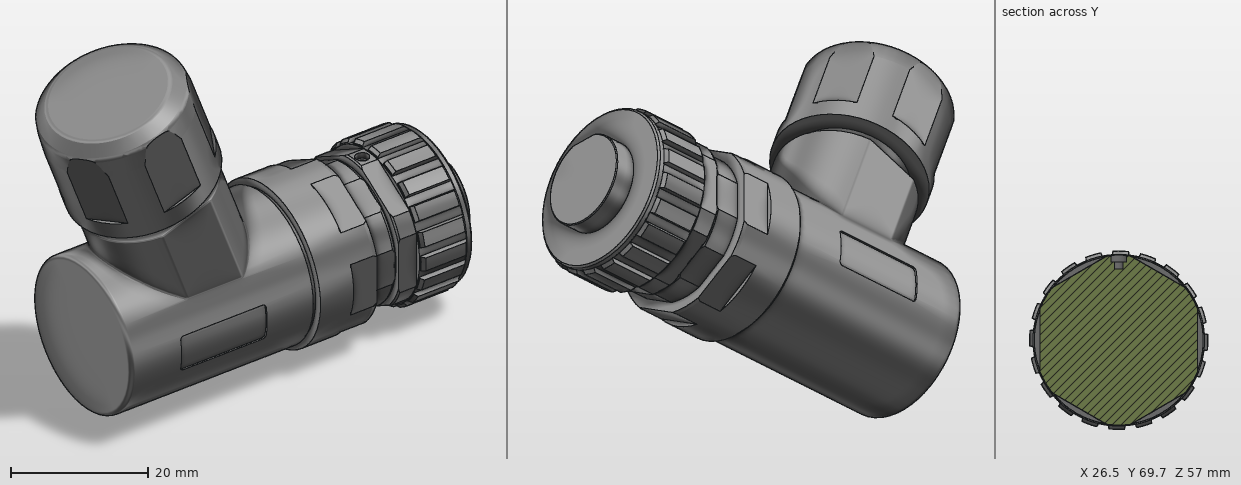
import cadquery as cq
import math


BODY_RADIUS = 12.45
BODY_END = 32.46
BODY_END_FILLET = 0.75
GROOVE_RADIUS = 12.0

LABEL_START = 9.03
LABEL_LENGTH = 15.23
LABEL_HEIGHT = 5.9
LABEL_DEPTH = 0.3
LABEL_CORNER = 0.6

COLLAR_RADIUS = 13.25
COLLAR_START = 33.2
COLLAR_FLATS_START = 39.08
COLLAR_END = 43.75
COLLAR_ACROSS_FLATS = 25.0
COLLAR_BEVEL_LENGTH = 0.63
COLLAR_BEVEL_DEPTH = 0.12

HEX_RADIUS = 11.45
HEX_END = 47.95
HEX_ACROSS_FLATS = 22.1
HEX_BEVEL_LENGTH = 0.4
HEX_BEVEL_DEPTH = 0.15

RELIEF_RADIUS = 10.9
NUT_START = 48.3
NUT_RADIUS = 12.4
NUT_ACROSS_FLATS = 23.0
NUT_BEVEL = 0.25
RING_START = 51.5
RING_END = 60.85
RING_RADIUS = 12.5
RING_BEVEL = 0.3

DOT_DIAMETER = 2.2
DOT_DEPTH = 1.0
DOT_PILOT_DIAMETER = 1.2
DOT_PILOT_DEPTH = 2.0

TOOTH_COUNT = 20
TOOTH_TILT = 1.3
TOOTH_START = 51.65
TOOTH_END = 59.8
TOOTH_TIP_RADIUS = 13.0
TOOTH_TIP_WIDTH = 2.1
TOOTH_ROOT_WIDTH = 2.5
TOOTH_END_BEVEL = 0.5
KNURL_FLOOR_RADIUS = 12.3

NOSE_RADIUS = 7.15
NOSE_END = 64.18
NOSE_FLAT_HEIGHT = 6.65
NOSE_BEVEL = 0.15

BRANCH_Y = 19.46
BRANCH_LEAN = 20.0
BOSS_RADIUS = 11.0
BOSS_TOP = 22.98
BOSS_WIDTH = 20.0
BOSS_FLAT_FILLET = 1.0
BOSS_TOP_FILLET = 0.4
BOSS_ROOT_FILLET = 0.5
NECK_RADIUS = 9.3

CAP_RADIUS = 12.0
CAP_BOTTOM = 25.13
CAP_FLATS_START = 28.15
CAP_ACROSS_FLATS = 23.0
CAP_TAPER_START = 38.15
CAP_SHOULDER = 41.3
CAP_SHOULDER_RADIUS = 11.65
CAP_TOP = 43.14
CAP_TOP_RADIUS = 9.45
CAP_SHOULDER_FILLET = 1.0
CAP_TOP_FILLET = 1.0

PICK_MARGIN = 0.1


def cylinder(radius, start, end):
    """Cylinder on the local Z axis between two heights."""
    return cq.Workplane("XY").workplane(offset=start).circle(radius).extrude(end - start)


def turned(points):
    """Body of revolution about local Z from (radius, height) points."""
    return cq.Workplane("XZ").polyline(points).close().revolve(360, (0, 0), (0, 1))


def hexagon(across_flats, start, end):
    """Hexagonal prism on local Z with one pair of flats facing +X and -X."""
    across_corners = across_flats / math.cos(math.radians(30))
    prism = cq.Workplane("XY").workplane(offset=start).polygon(6, across_corners).extrude(end - start)
    return prism.rotate((0, 0, 0), (0, 0, 1), 30)


def beveled_hexagon(radius, across_flats, start, end, bevel_depth, bevel_length, bevel_at_end=True):
    """Cylinder with six flats and a bevel on the round parts of one rim."""
    small = radius - bevel_depth
    if bevel_at_end:
        rim = [(radius, start), (radius, end - bevel_length), (small, end)]
    else:
        rim = [(small, start), (radius, start + bevel_length), (radius, end)]
    blank = turned([(0, start)] + rim + [(0, end)])
    return blank.intersect(hexagon(across_flats, start, end))


def along_barrel(part):
    """Lay a part built on local Z along +Y, local -Y becoming +Z."""
    return part.rotate((0, 0, 0), (1, 0, 0), -90)


def along_branch(part):
    """Lean a part built on local Z back to the branch axis."""
    return part.rotate((0, 0, 0), (1, 0, 0), BRANCH_LEAN).translate((0, BRANCH_Y, 0))


def make_barrel():
    """Plain round barrel with a rounded rear edge."""
    barrel = cylinder(BODY_RADIUS, 0, BODY_END)
    return along_barrel(barrel.faces("<Z").edges().fillet(BODY_END_FILLET))


def make_label_recesses():
    """Rounded rectangular shells that sink the label areas into the barrel."""
    shape = (
        cq.Workplane("YZ")
        .center(LABEL_START + LABEL_LENGTH / 2, 0)
        .rect(LABEL_LENGTH, LABEL_HEIGHT)
        .extrude(BODY_RADIUS + LABEL_DEPTH, both=True)
        .edges("|X")
        .fillet(LABEL_CORNER)
    )
    return shape.cut(along_barrel(cylinder(BODY_RADIUS - LABEL_DEPTH, 0, BODY_END)))


def make_boss():
    """Branch root: a cylinder flattened on both sides, starting at the barrel axis."""
    slab = cq.Workplane("XY").rect(BOSS_WIDTH, 2 * BOSS_RADIUS).extrude(BOSS_TOP)
    boss = cylinder(BOSS_RADIUS, 0, BOSS_TOP).intersect(slab)
    boss = boss.edges("|Z").fillet(BOSS_FLAT_FILLET)
    boss = boss.faces(">Z").edges().fillet(BOSS_TOP_FILLET)
    return along_branch(boss)


def make_housing():
    """Barrel and boss joined by a small root fillet, with the label recesses."""
    housing = make_barrel().union(make_boss())
    root_edges = housing.edges(
        cq.selectors.BoxSelector(
            (-BOSS_RADIUS, BODY_END_FILLET + PICK_MARGIN, BODY_RADIUS / 2),
            (BOSS_RADIUS, BODY_END - PICK_MARGIN, BODY_RADIUS + PICK_MARGIN),
        )
    )
    housing = root_edges.fillet(BOSS_ROOT_FILLET)
    return housing.cut(make_label_recesses())


def make_collar():
    """Groove, collar with wrench flats and the narrower hexagon ahead of it."""
    groove = cylinder(GROOVE_RADIUS, BODY_END, COLLAR_START)
    round_part = cylinder(COLLAR_RADIUS, COLLAR_START, COLLAR_FLATS_START)
    flat_part = beveled_hexagon(
        COLLAR_RADIUS, COLLAR_ACROSS_FLATS, COLLAR_FLATS_START, COLLAR_END,
        COLLAR_BEVEL_DEPTH, COLLAR_BEVEL_LENGTH,
    )
    front_hexagon = beveled_hexagon(
        HEX_RADIUS, HEX_ACROSS_FLATS, COLLAR_END, HEX_END, HEX_BEVEL_DEPTH, HEX_BEVEL_LENGTH
    )
    return along_barrel(groove.union(round_part).union(flat_part).union(front_hexagon))


def make_tooth():
    """One grip tooth with sloping flanks and beveled ends, pointing to local -Y."""
    buried_radius = RELIEF_RADIUS
    beyond_tip = TOOTH_TIP_RADIUS + TOOTH_END_BEVEL
    flank = (
        cq.Workplane("XY")
        .workplane(offset=TOOTH_START)
        .polyline([
            (-TOOTH_ROOT_WIDTH / 2, -buried_radius),
            (-TOOTH_ROOT_WIDTH / 2, -KNURL_FLOOR_RADIUS),
            (-TOOTH_TIP_WIDTH / 2, -beyond_tip),
            (TOOTH_TIP_WIDTH / 2, -beyond_tip),
            (TOOTH_ROOT_WIDTH / 2, -KNURL_FLOOR_RADIUS),
            (TOOTH_ROOT_WIDTH / 2, -buried_radius),
        ])
        .close()
        .extrude(TOOTH_END - TOOTH_START)
    )
    envelope = turned([
        (0, TOOTH_START),
        (TOOTH_TIP_RADIUS - TOOTH_END_BEVEL, TOOTH_START),
        (TOOTH_TIP_RADIUS, TOOTH_START + TOOTH_END_BEVEL),
        (TOOTH_TIP_RADIUS, TOOTH_END - TOOTH_END_BEVEL),
        (TOOTH_TIP_RADIUS - TOOTH_END_BEVEL, TOOTH_END),
        (0, TOOTH_END),
    ])
    return flank.intersect(envelope)


def make_coupling_nut():
    """Hexagon and gripping ring with evenly spaced teeth."""
    nut = cylinder(RELIEF_RADIUS, HEX_END, NUT_START)
    nut = nut.union(
        beveled_hexagon(
            NUT_RADIUS, NUT_ACROSS_FLATS, NUT_START, RING_START, NUT_BEVEL, NUT_BEVEL, bevel_at_end=False
        )
    )
    nut = nut.union(cylinder(KNURL_FLOOR_RADIUS, RING_START, TOOTH_END))
    nut = nut.union(cylinder(RING_RADIUS, TOOTH_END, RING_END).faces(">Z").chamfer(RING_BEVEL))
    tooth = make_tooth()
    for index in range(TOOTH_COUNT):
        angle = TOOTH_TILT + index * 360 / TOOTH_COUNT
        nut = nut.union(tooth.rotate((0, 0, 0), (0, 0, 1), angle))
    return along_barrel(nut)


def make_indicator_hole():
    """Stepped blind hole entering the coupling nut from above."""
    dot_y = (NUT_START + RING_START) / 2
    mouth = cq.Workplane("XY", origin=(0, dot_y, NUT_RADIUS))
    hole = mouth.circle(DOT_DIAMETER / 2).extrude(-DOT_DEPTH)
    return hole.union(mouth.circle(DOT_PILOT_DIAMETER / 2).extrude(-DOT_PILOT_DEPTH))


def make_nose():
    """Round front nose with its top cut flat."""
    nose = cylinder(NOSE_RADIUS, RING_END, NOSE_END).faces(">Z").chamfer(NOSE_BEVEL)
    nose = along_barrel(nose)
    length = NOSE_END - RING_END
    above_flat = (
        cq.Workplane("XY")
        .box(2 * NOSE_RADIUS, length, NOSE_RADIUS, centered=(True, False, False))
        .translate((0, RING_END, NOSE_FLAT_HEIGHT))
    )
    return nose.cut(above_flat)


def make_cap():
    """Branch cap on a plain neck: round skirt, six flats, tapered and rounded top."""
    neck = cylinder(NECK_RADIUS, BOSS_TOP, CAP_BOTTOM)
    skirt = cylinder(CAP_RADIUS, CAP_BOTTOM, CAP_FLATS_START)
    crown = turned([
        (0, CAP_FLATS_START),
        (CAP_RADIUS, CAP_FLATS_START),
        (CAP_RADIUS, CAP_TAPER_START),
        (CAP_SHOULDER_RADIUS, CAP_SHOULDER),
        (CAP_TOP_RADIUS, CAP_TOP),
        (0, CAP_TOP),
    ])
    shoulder_band = cq.selectors.BoxSelector(
        (-CAP_RADIUS, -CAP_RADIUS, CAP_SHOULDER - PICK_MARGIN),
        (CAP_RADIUS, CAP_RADIUS, CAP_SHOULDER + PICK_MARGIN),
    )
    crown = crown.faces(">Z").edges().fillet(CAP_TOP_FILLET)
    crown = crown.edges(shoulder_band).edges("%CIRCLE").fillet(CAP_SHOULDER_FILLET)
    crown = crown.intersect(hexagon(CAP_ACROSS_FLATS, CAP_FLATS_START, CAP_TOP))
    return along_branch(neck.union(skirt).union(crown))


result = (
    make_housing()
    .union(make_collar())
    .union(make_coupling_nut())
    .union(make_nose())
    .union(make_cap())
    .cut(make_indicator_hole())
)